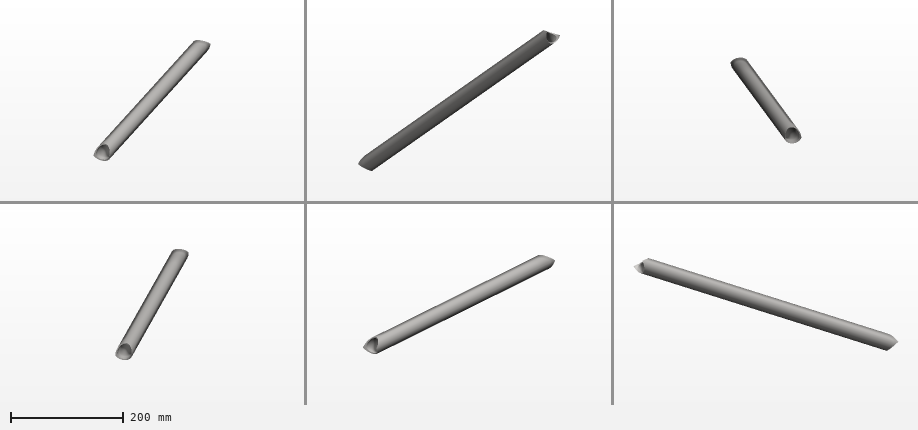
import cadquery as cq

length = 534.0
outer_diameter = 30.0
wall = 2.0
post_diameter = outer_diameter
post_tilt = 15.0
post_roll = -8.0
post_length = 4 * outer_diameter

outer_radius = outer_diameter / 2
inner_radius = outer_radius - wall


def inclined_post(end):
    """Cutting cylinder whose axis crosses the tube axis at one end (-1 or +1)."""
    return (
        cq.Workplane("XY")
        .circle(post_diameter / 2)
        .extrude(post_length / 2, both=True)
        .rotate((0, 0, 0), (1, 0, 0), end * post_tilt)
        .rotate((0, 0, 0), (0, 1, 0), post_roll)
        .translate((0, end * length / 2, 0))
    )


tube = (
    cq.Workplane("XZ")
    .circle(outer_radius)
    .circle(inner_radius)
    .extrude(length / 2, both=True)
)

for end in (-1, 1):
    tube = tube.cut(inclined_post(end))

result = tube